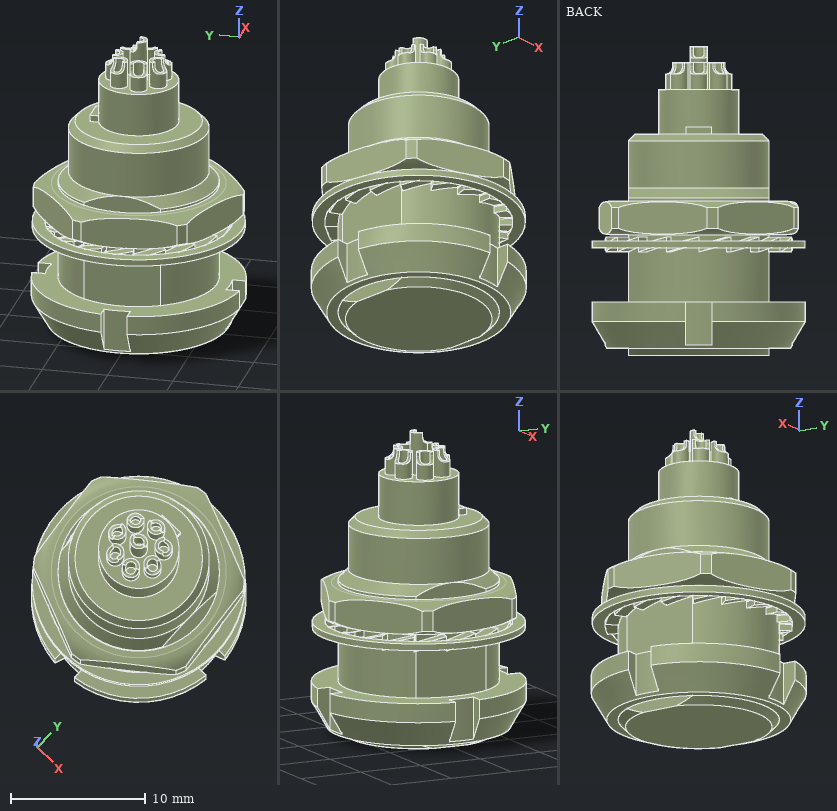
import cadquery as cq
import math

total_height = 23.0
thread_radius = 6.0
barrel_radius = 5.25
thread_chamfer = thread_radius - barrel_radius

front_chamfer = 0.55
thread_end = 12.5
barrel_top = 16.5
barrel_chamfer = 0.5
insert_top = 19.8

insert_radius = 3.0
key_width = 1.9
key_reach = 3.5
key_top = 17.0

cup_radius = 0.65
cup_bore_radius = 0.4
cup_pitch_radius = 1.86
outer_cup_count = 7
outer_cup_top = 21.8
cup_cutaway_depth = 0.85
cup_cutaway_fillet = 0.55

slotted_nut_radius = 8.0
slotted_nut_bottom = front_chamfer
slotted_nut_top = 4.0
taper_start = 2.55
taper_angle = 30.0
slot_width = 2.0
slot_floor_radius = 7.0
slot_count = 4

hex_across_flats = 14.0
hex_corner_radius = 7.87
hex_face_radius = 6.5
hex_corner_drop = 0.48
hex_bottom = 9.0
hex_height = 2.5
hex_turn = 7.5

washer_radius = 7.94
washer_bottom = 8.03
washer_thickness = 0.5
tooth_outer_radius = 7.0
tooth_height = 0.3
tooth_count = 18


def rod(radius, bottom, top):
    """Upright cylinder on the Z axis."""
    return cq.Workplane("XY").workplane(offset=bottom).circle(radius).extrude(top - bottom)


def ring(outer_radius, bottom, top):
    """Upright ring that fits around the shell thread."""
    return rod(outer_radius, bottom, top).cut(rod(thread_radius, bottom, top))


def turned(profile):
    """Solid of revolution about Z from (radius, height) points."""
    return cq.Workplane("XZ").polyline(profile).close().revolve(360, (0, 0), (0, 1))



def threaded_section():
    """Chamfered thread with two flats facing -X and +X."""
    thread = turned([
        (0, 0),
        (thread_radius - front_chamfer, 0),
        (thread_radius, front_chamfer),
        (thread_radius, thread_end - thread_chamfer),
        (barrel_radius, thread_end),
        (0, thread_end),
    ])
    between_flats = cq.Workplane("XY").rect(2 * barrel_radius, 2 * thread_radius).extrude(thread_end)
    return thread.intersect(between_flats)


def barrel():
    """Plain rear barrel, chamfered at its top edge."""
    return rod(barrel_radius, thread_end, barrel_top).faces(">Z").chamfer(barrel_chamfer)


def insert_key():
    """Rib on the +Y side of the insert."""
    return (
        cq.Workplane("XY").workplane(offset=barrel_top)
        .center(0, key_reach / 2)
        .rect(key_width, key_reach)
        .extrude(key_top - barrel_top)
    )


def solder_cup(top):
    """Hollow post on the Z axis, cut away to half its section on the +Y side near its top."""
    post = rod(cup_radius, insert_top, top).cut(rod(cup_bore_radius, insert_top, top))
    cutaway_bottom = top - cup_cutaway_depth
    cutaway = (
        cq.Workplane("YZ")
        .moveTo(0, top)
        .lineTo(0, cutaway_bottom + cup_cutaway_fillet)
        .radiusArc((cup_cutaway_fillet, cutaway_bottom), -cup_cutaway_fillet)
        .lineTo(cup_radius, cutaway_bottom)
        .lineTo(cup_radius, top)
        .close()
        .extrude(cup_radius, both=True)
    )
    return post.cut(cutaway)


def shell():
    """Shell, insert, key and solder cups as one solid."""
    body = threaded_section().union(barrel())
    body = body.union(rod(insert_radius, barrel_top, insert_top)).union(insert_key())
    body = body.union(solder_cup(total_height))
    for i in range(outer_cup_count):
        cup = solder_cup(outer_cup_top).translate((0, cup_pitch_radius, 0))
        body = body.union(cup.rotate((0, 0, 0), (0, 0, 1), i * 360 / outer_cup_count))
    return body



def slotted_nut():
    """Round nut tapered towards its lower face, with four slots open at the top."""
    taper_run = (taper_start - slotted_nut_bottom) * math.tan(math.radians(taper_angle))
    nut = turned([
        (thread_radius, slotted_nut_bottom),
        (slotted_nut_radius - taper_run, slotted_nut_bottom),
        (slotted_nut_radius, taper_start),
        (slotted_nut_radius, slotted_nut_top),
        (thread_radius, slotted_nut_top),
    ])
    slot_floor = rod(slot_floor_radius, slotted_nut_bottom, slotted_nut_top)
    slot = (
        cq.Workplane("XY").workplane(offset=slotted_nut_bottom)
        .center(slotted_nut_radius / 2, 0)
        .rect(slotted_nut_radius, slot_width)
        .extrude(slotted_nut_top - slotted_nut_bottom)
        .cut(slot_floor)
    )
    for i in range(slot_count):
        nut = nut.cut(slot.rotate((0, 0, 0), (0, 0, 1), i * 360 / slot_count))
    return nut



def hex_nut():
    """Hexagon with turned corners, rounded towards a flat ring on both end faces."""
    hex_top = hex_bottom + hex_height
    hexagon = (
        cq.Workplane("XY").workplane(offset=hex_bottom)
        .polygon(6, hex_across_flats, circumscribed=True)
        .extrude(hex_height)
        .rotate((0, 0, 0), (0, 0, 1), hex_turn)
    )
    rounding_reach = hex_corner_radius - hex_face_radius
    rounding_radius = (rounding_reach**2 + hex_corner_drop**2) / (2 * hex_corner_drop)
    blank = (
        cq.Workplane("XZ")
        .moveTo(thread_radius, hex_bottom)
        .lineTo(hex_face_radius, hex_bottom)
        .radiusArc((hex_corner_radius, hex_bottom + hex_corner_drop), -rounding_radius)
        .lineTo(hex_corner_radius, hex_top - hex_corner_drop)
        .radiusArc((hex_face_radius, hex_top), -rounding_radius)
        .lineTo(thread_radius, hex_top)
        .close()
        .revolve(360, (0, 0), (0, 1))
    )
    return blank.intersect(hexagon)



def tooth_section(distance):
    """Cross-section of a tooth at a distance from the Z axis, sloping up along +Y."""
    half_width = distance * math.tan(math.pi / tooth_count)
    washer_top = washer_bottom + washer_thickness
    corners = [
        (distance, -half_width, washer_bottom - tooth_height),
        (distance, half_width, washer_bottom + tooth_height),
        (distance, half_width, washer_top + tooth_height),
        (distance, -half_width, washer_top - tooth_height),
    ]
    return cq.Wire.makePolygon([cq.Vector(*corner) for corner in corners], close=True)


def tooth():
    """Twisted blade on the +X side that sticks out of both washer faces."""
    blade = cq.Solid.makeLoft([tooth_section(barrel_radius), tooth_section(washer_radius)], True)
    tooth_band = ring(
        tooth_outer_radius,
        washer_bottom - tooth_height,
        washer_bottom + washer_thickness + tooth_height,
    )
    return tooth_band.intersect(cq.Workplane(blade))


def lock_washer():
    """Flat rim with twisted teeth around the inside."""
    rim = rod(washer_radius, washer_bottom, washer_bottom + washer_thickness)
    washer = rim.cut(rod(tooth_outer_radius, washer_bottom, washer_bottom + washer_thickness))
    blade = tooth()
    for i in range(tooth_count):
        angle = (i + 0.5) * 360 / tooth_count - 90
        washer = washer.union(blade.rotate((0, 0, 0), (0, 0, 1), angle))
    return washer


result = cq.Compound.makeCompound([
    shell().val(),
    slotted_nut().val(),
    hex_nut().val(),
    lock_washer().val(),
])